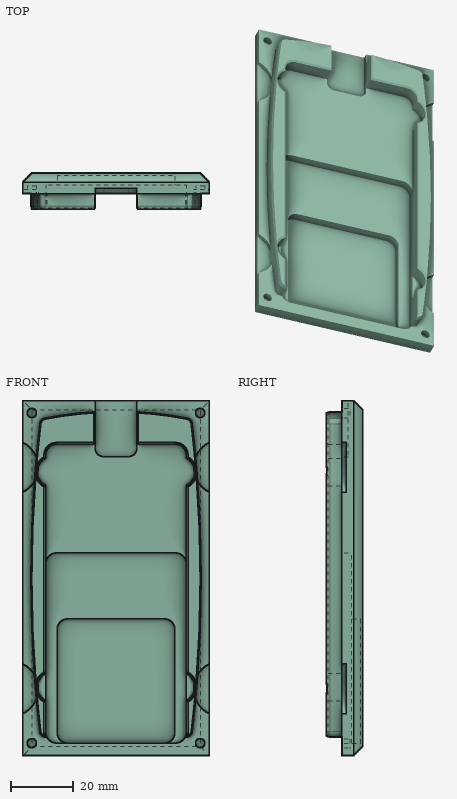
import cadquery as cq
import math

PLATE_WIDTH = 60.0
PLATE_HEIGHT = 114.0
PLATE_THICKNESS = 6.7
BACK_CHAMFER = 3.0

HOLE_DIAMETER = 3.0
HOLE_INSET_X = 3.0
HOLE_INSET_Z = 4.0
HOLE_DEPTH = 2.5

RIM_HEIGHT = 5.0
RIM_HALF_WIDTH = 27.4
RIM_CORNER_X = 24.3
RIM_CORNER_Z = 51.1
RIM_CROWN_Z = 53.6
RIM_CORNER_RADIUS = 2.0
RIM_BEVEL_WIDTH = 0.3
RIM_BEVEL_HEIGHT = 1.1

OPENING_HALF_WIDTH = 22.6
OPENING_TOP_Z = 43.0
OPENING_BOTTOM_Z = -53.0
OPENING_RADIUS = 3.5
INNER_BEVEL_WIDTH = 0.6
INNER_BEVEL_HEIGHT = 0.5

NOTCH_RADIUS = 4.9
NOTCH_CENTER_X = 20.4
NOTCH_UPPER_Z = 34.1
NOTCH_LOWER_Z = -35.0

RECESS_TOP_Z = 8.1
RECESS_DEPTH = 3.0
POCKET_HALF_WIDTH = 18.9
POCKET_TOP_Z = -13.1
POCKET_DEPTH = 5.9
POCKET_RADIUS = 3.4

SLOT_HALF_WIDTH = 6.7
SLOT_BOTTOM_Z = 39.0
SLOT_DEPTH = 1.8
SLOT_RADIUS = 2.7
SLOT_BEVEL_WIDTH = 0.3
SLOT_BEVEL_HEIGHT = 0.6

SCALLOP_RADIUS = 8.9
SCALLOP_CENTER_X = 33.9
SCALLOP_Z = 35.6
SCALLOP_DEPTH = 1.5


def front_plane(y):
    """Sketch plane facing -Y at the given Y; local axes are X and Z."""
    return cq.Workplane("XZ", origin=(0, y, 0))


def rounded_block(half_width, bottom_z, top_z, radius, y_front, y_back, taper=0):
    """Rounded box centred on X, narrowing by the taper angle towards the back."""
    outline = (
        cq.Sketch()
        .push([(0, (bottom_z + top_z) / 2)])
        .rect(2 * half_width, top_z - bottom_z)
        .reset()
        .vertices()
        .fillet(radius)
    )
    return front_plane(y_front).placeSketch(outline).extrude(y_front - y_back, taper=taper)


def bevel_angle(width, height):
    """Taper angle in degrees of a bevel with the given width and height."""
    return math.degrees(math.atan2(width, height))


def make_plate():
    return (
        front_plane(PLATE_THICKNESS)
        .rect(PLATE_WIDTH, PLATE_HEIGHT)
        .extrude(PLATE_THICKNESS)
        .faces(">Y")
        .chamfer(BACK_CHAMFER)
    )


def make_rim():
    """Solid raised block with bowed sides and top and a bevelled front edge."""
    rim = (
        front_plane(0)
        .moveTo(-RIM_CORNER_X, -RIM_CORNER_Z)
        .threePointArc((-RIM_HALF_WIDTH, 0), (-RIM_CORNER_X, RIM_CORNER_Z))
        .threePointArc((0, RIM_CROWN_Z), (RIM_CORNER_X, RIM_CORNER_Z))
        .threePointArc((RIM_HALF_WIDTH, 0), (RIM_CORNER_X, -RIM_CORNER_Z))
        .close()
        .extrude(RIM_HEIGHT)
        .edges("|Y")
        .fillet(RIM_CORNER_RADIUS)
    )
    front_edges = rim.faces("<Y").edges().vals()
    return cq.Workplane(rim.val().chamfer(RIM_BEVEL_HEIGHT, RIM_BEVEL_WIDTH, front_edges))


def make_opening(y_back, grow=0, taper=0):
    """Rim opening with its four notches, widened by grow at the front of the rim."""
    opening = rounded_block(
        OPENING_HALF_WIDTH + grow,
        OPENING_BOTTOM_Z - grow,
        OPENING_TOP_Z + grow,
        OPENING_RADIUS + grow,
        -RIM_HEIGHT,
        y_back,
        taper,
    )
    for x in (-NOTCH_CENTER_X, NOTCH_CENTER_X):
        for z in (NOTCH_LOWER_Z, NOTCH_UPPER_Z):
            notch = (
                front_plane(-RIM_HEIGHT)
                .center(x, z)
                .circle(NOTCH_RADIUS + grow)
                .extrude(-RIM_HEIGHT - y_back, taper=taper)
            )
            opening = opening.union(notch)
    return opening


def make_slot(y_back, grow=0, taper=0):
    """Cable slot running past the top edge, so only its lower corners are rounded."""
    return rounded_block(
        SLOT_HALF_WIDTH + grow,
        SLOT_BOTTOM_Z - grow,
        PLATE_HEIGHT,
        SLOT_RADIUS + grow,
        -RIM_HEIGHT,
        y_back,
        taper,
    )


def make_scallops():
    return (
        front_plane(SCALLOP_DEPTH)
        .rect(2 * SCALLOP_CENTER_X, 2 * SCALLOP_Z, forConstruction=True)
        .vertices()
        .circle(SCALLOP_RADIUS)
        .extrude(SCALLOP_DEPTH)
    )


def make_holes():
    return (
        front_plane(HOLE_DEPTH)
        .rect(PLATE_WIDTH - 2 * HOLE_INSET_X, PLATE_HEIGHT - 2 * HOLE_INSET_Z, forConstruction=True)
        .vertices()
        .circle(HOLE_DIAMETER / 2)
        .extrude(HOLE_DEPTH)
    )


recess = rounded_block(
    OPENING_HALF_WIDTH, OPENING_BOTTOM_Z, RECESS_TOP_Z, OPENING_RADIUS, 0, RECESS_DEPTH
)
pocket = rounded_block(
    POCKET_HALF_WIDTH, OPENING_BOTTOM_Z, POCKET_TOP_Z, POCKET_RADIUS, 0, POCKET_DEPTH
)
opening_bevel = make_opening(
    INNER_BEVEL_HEIGHT - RIM_HEIGHT,
    INNER_BEVEL_WIDTH,
    bevel_angle(INNER_BEVEL_WIDTH, INNER_BEVEL_HEIGHT),
)
slot_bevel = make_slot(
    SLOT_BEVEL_HEIGHT - RIM_HEIGHT,
    SLOT_BEVEL_WIDTH,
    bevel_angle(SLOT_BEVEL_WIDTH, SLOT_BEVEL_HEIGHT),
)

result = (
    make_plate()
    .cut(make_scallops())
    .union(make_rim())
    .cut(make_opening(0))
    .cut(opening_bevel)
    .cut(recess)
    .cut(pocket)
    .cut(make_slot(SLOT_DEPTH))
    .cut(slot_bevel)
    .cut(make_holes())
)